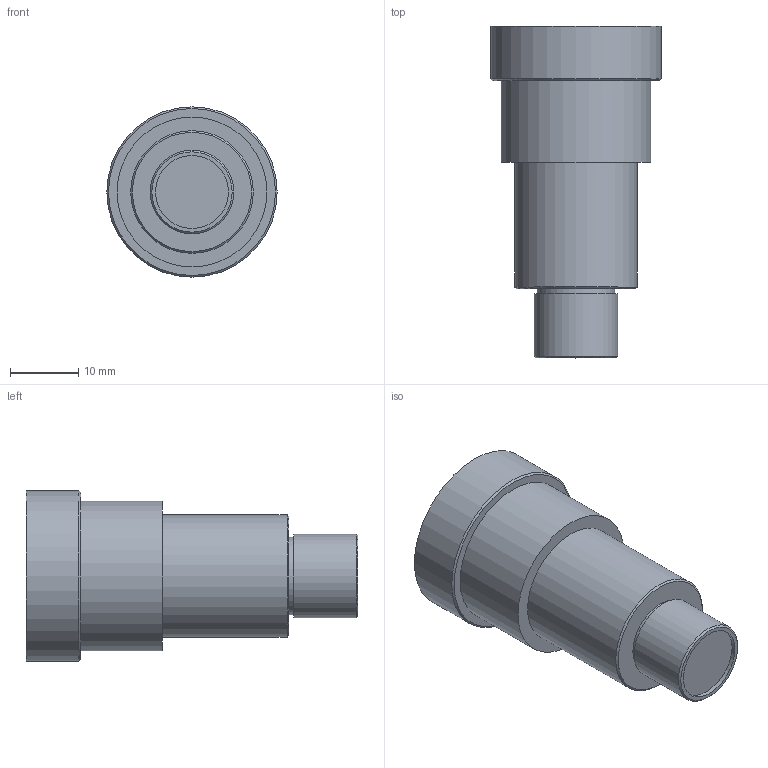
import cadquery as cq

head_diameter = 25.0
head_length = 8.0
shoulder_diameter = 22.0
shoulder_length = 12.0
body_diameter = 18.0
body_length = 18.55
groove_diameter = 11.4
groove_length = 0.7
tip_diameter = 12.3
tip_length = 9.45
recess_diameter = 10.7
recess_depth = 0.6
edge_chamfer = 0.25

overall_length = head_length + shoulder_length + body_length + groove_length + tip_length


def cylinder(diameter, start, length):
    """Solid cylinder on the Y axis, running from depth `start` below the head face toward -Y."""
    plane = cq.Plane(origin=(0, -start, 0), xDir=(1, 0, 0), normal=(0, -1, 0))
    return cq.Workplane(plane).circle(diameter / 2).extrude(length)


def section(diameter, start, length, chamfer=0.0):
    """One step of the pin, with an optional chamfer on the edge of its -Y end."""
    step = cylinder(diameter, start, length)
    if chamfer > 0:
        step = step.faces("<Y").edges().chamfer(chamfer)
    return step


def stepped_pin():
    """Stack the steps from the head face to the tip."""
    steps = [
        (head_diameter, head_length, edge_chamfer),
        (shoulder_diameter, shoulder_length, 0.0),
        (body_diameter, body_length, edge_chamfer),
        (groove_diameter, groove_length, 0.0),
        (tip_diameter, tip_length, edge_chamfer),
    ]
    pin = cq.Workplane()
    start = 0.0
    for diameter, length, chamfer in steps:
        pin = pin.add(section(diameter, start, length, chamfer))
        start += length
    return pin.combine()


def tip_recess():
    """Shallow round recess in the end face of the tip."""
    return cylinder(recess_diameter, overall_length - recess_depth, recess_depth)


result = stepped_pin().cut(tip_recess())